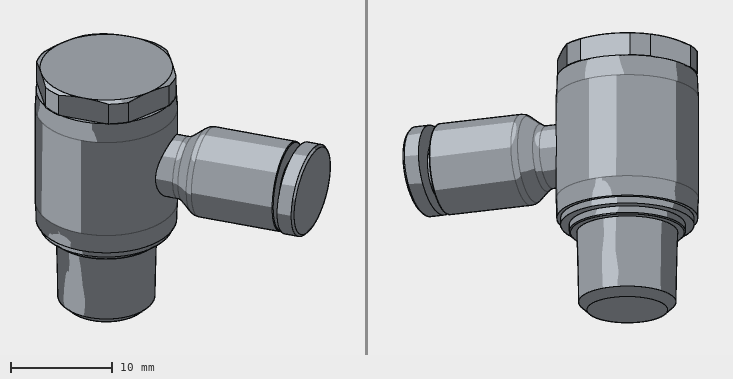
import cadquery as cq

TOTAL_LENGTH = 28.5
TOTAL_HEIGHT = 26.5

BODY_DIAMETER = 14.0
BODY_RADIUS = BODY_DIAMETER / 2
BODY_LOWER_END_RADIUS = 6.93
BODY_UPPER_END_RADIUS = 6.9
SHOULDER_RADIUS = 6.55
WASHER_RADIUS = 5.7
WASHER_CHAMFER = 0.1
THREAD_TOP_RADIUS = 4.95
THREAD_BOTTOM_RADIUS = 4.8
THREAD_TIP_RADIUS = 3.95

THREAD_CHAMFER_Z = 0.8
THREAD_TOP_Z = 8.0
WASHER_TOP_Z = 8.8
SHOULDER_TOP_Z = 9.5
LOWER_TAPER_TOP_Z = 11.49
UPPER_TAPER_BOTTOM_Z = 21.97
HEX_BOTTOM_Z = 24.05

HEX_ACROSS_FLATS = 13.0
HEX_TURN = 30
HEX_CHAMFER_DROP = 0.2

BRANCH_Z = 16.75
STUB_RADIUS = 3.1
SLEEVE_RADIUS = 4.5
CONE_START_X = 8.4
CONE_END_X = 10.17
CONE_BLEND_RADIUS = 1.0
CONE_PICK_MARGIN = 0.28
SLEEVE_END_X = 19.05
SLEEVE_END_CHAMFER = 0.09

RING_NECK_RADIUS = 2.76
RING_HALF_WIDTH = 5.42
RING_HALF_HEIGHT = 4.33
RING_START_X = 19.8
RING_END_X = TOTAL_LENGTH - BODY_RADIUS
RING_CHAMFER = 0.23


def make_body():
    """Turned body: tapered thread, washer, shoulder and slightly barrelled housing."""
    outline = [
        (0, 0),
        (THREAD_TIP_RADIUS, 0),
        (THREAD_BOTTOM_RADIUS, THREAD_CHAMFER_Z),
        (THREAD_TOP_RADIUS, THREAD_TOP_Z),
        (WASHER_RADIUS - WASHER_CHAMFER, THREAD_TOP_Z),
        (WASHER_RADIUS, THREAD_TOP_Z + WASHER_CHAMFER),
        (WASHER_RADIUS, WASHER_TOP_Z),
        (SHOULDER_RADIUS, WASHER_TOP_Z),
        (SHOULDER_RADIUS, SHOULDER_TOP_Z),
        (BODY_LOWER_END_RADIUS, SHOULDER_TOP_Z),
        (BODY_RADIUS, LOWER_TAPER_TOP_Z),
        (BODY_RADIUS, UPPER_TAPER_BOTTOM_Z),
        (BODY_UPPER_END_RADIUS, HEX_BOTTOM_Z),
        (0, HEX_BOTTOM_Z),
    ]
    return cq.Workplane("XZ").polyline(outline).close().revolve(360, (0, 0), (0, 1))


def make_hex_head():
    """Hexagon with flats facing +Y and -Y, its corners turned round and chamfered on top."""
    head_height = TOTAL_HEIGHT - HEX_BOTTOM_Z
    hexagon = (
        cq.Workplane("XY")
        .workplane(offset=HEX_BOTTOM_Z)
        .polygon(6, HEX_ACROSS_FLATS, circumscribed=True)
        .extrude(head_height)
        .rotate((0, 0, 0), (0, 0, 1), HEX_TURN)
    )
    top_circle_radius = HEX_ACROSS_FLATS / 2
    turned_outline = [
        (0, HEX_BOTTOM_Z),
        (BODY_RADIUS, HEX_BOTTOM_Z),
        (BODY_RADIUS, TOTAL_HEIGHT - HEX_CHAMFER_DROP),
        (top_circle_radius, TOTAL_HEIGHT),
        (0, TOTAL_HEIGHT),
    ]
    turned_blank = cq.Workplane("XZ").polyline(turned_outline).close().revolve(360, (0, 0), (0, 1))
    return hexagon.intersect(turned_blank)


def make_branch():
    """Stub, blended cone, sleeve and ring neck, turned about the branch axis."""
    outline = [
        (0, 0),
        (0, STUB_RADIUS),
        (CONE_START_X, STUB_RADIUS),
        (CONE_END_X, SLEEVE_RADIUS),
        (SLEEVE_END_X - SLEEVE_END_CHAMFER, SLEEVE_RADIUS),
        (SLEEVE_END_X, SLEEVE_RADIUS - SLEEVE_END_CHAMFER),
        (SLEEVE_END_X, RING_NECK_RADIUS),
        (RING_START_X, RING_NECK_RADIUS),
        (RING_START_X, 0),
    ]
    cone_edges = cq.selectors.BoxSelector(
        (CONE_START_X - CONE_PICK_MARGIN, -SLEEVE_RADIUS, -SLEEVE_RADIUS),
        (CONE_END_X + CONE_PICK_MARGIN, SLEEVE_RADIUS, SLEEVE_RADIUS),
    )
    turned = cq.Workplane("XZ").polyline(outline).close().revolve(360, (0, 0), (1, 0))
    blended = turned.edges(cone_edges).edges("%CIRCLE").fillet(CONE_BLEND_RADIUS)
    return blended.translate((0, 0, BRANCH_Z))


def make_release_ring():
    """Oval plate, wider along Y than along Z, chamfered on its outer face."""
    return (
        cq.Workplane("YZ", origin=(RING_START_X, 0, BRANCH_Z))
        .ellipse(RING_HALF_WIDTH, RING_HALF_HEIGHT)
        .extrude(RING_END_X - RING_START_X)
        .faces(">X")
        .edges()
        .chamfer(RING_CHAMFER)
    )


result = make_body().union(make_hex_head()).union(make_branch()).union(make_release_ring())